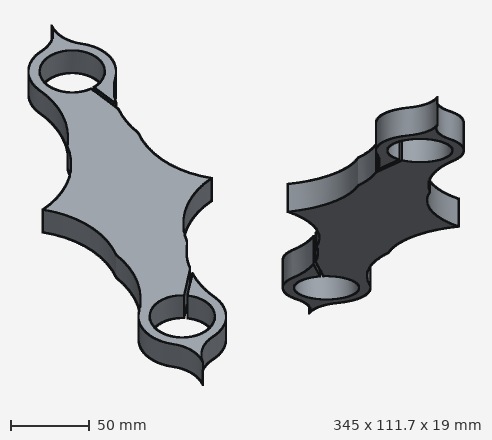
import cadquery as cq
import math

length = 345.0
width = 111.7
thickness = 19.0

ring_x = 125.5
ring_radius = 28.0
hole_radius = 20.7

shoulder_x = 56.0
shoulder_y = 23.5
waist_start_x = 114.0
waist_x = 84.0
waist_y = 18.0

slit_width = 2.0
slit_angle = 24.5
slit_mid_x = 95.5
slit_mid_y = 12.8
slit_length = 31.0

tip_x = length / 2
tip_gap = tip_x - ring_x
tip_radius = (tip_gap**2 - ring_radius**2) / (2 * ring_radius)
ring_share = ring_radius / (ring_radius + tip_radius)
ring_tip_point = (ring_x + tip_gap * ring_share, tip_radius * ring_share)
tip_half_angle = math.atan2(tip_gap, tip_radius) / 2
tip_mid_point = (
    tip_x - tip_radius * math.sin(tip_half_angle),
    tip_radius * (1 - math.cos(tip_half_angle)),
)

waist_start_y = math.sqrt(ring_radius**2 - (ring_x - waist_start_x) ** 2)

peak_y = width / 2
peak_rise = peak_y - shoulder_y
peak_radius = (shoulder_x**2 + peak_rise**2) / (2 * peak_rise)
peak_half_angle = math.asin(shoulder_x / peak_radius) / 2
peak_mid_point = (
    shoulder_x - peak_radius * math.sin(peak_half_angle),
    shoulder_y + peak_radius * (1 - math.cos(peak_half_angle)),
)


def quarter_plate():
    """Quarter of the plate with positive X and Y."""
    return (
        cq.Workplane("XY")
        .lineTo(tip_x, 0)
        .threePointArc(tip_mid_point, ring_tip_point)
        .threePointArc((ring_x, ring_radius), (waist_start_x, waist_start_y))
        .threePointArc((waist_x, waist_y), (shoulder_x, shoulder_y))
        .threePointArc(peak_mid_point, (0, peak_y))
        .close()
        .extrude(thickness)
    )


def slit_cutter():
    """Narrow slanted bar that opens the right hole to the upper edge."""
    return (
        cq.Workplane("XY")
        .rect(slit_length, slit_width)
        .extrude(thickness)
        .rotate((0, 0, 0), (0, 0, 1), -slit_angle)
        .translate((slit_mid_x, slit_mid_y, 0))
    )


half_plate = quarter_plate()
half_plate = half_plate.union(half_plate.mirror("XZ"))
plate = half_plate.union(half_plate.mirror("YZ")).clean()

holes = (
    cq.Workplane("XY")
    .pushPoints([(-ring_x, 0), (ring_x, 0)])
    .circle(hole_radius)
    .extrude(thickness)
)
right_slit = slit_cutter()

result = plate.cut(holes).cut(right_slit).cut(right_slit.mirror("YZ"))